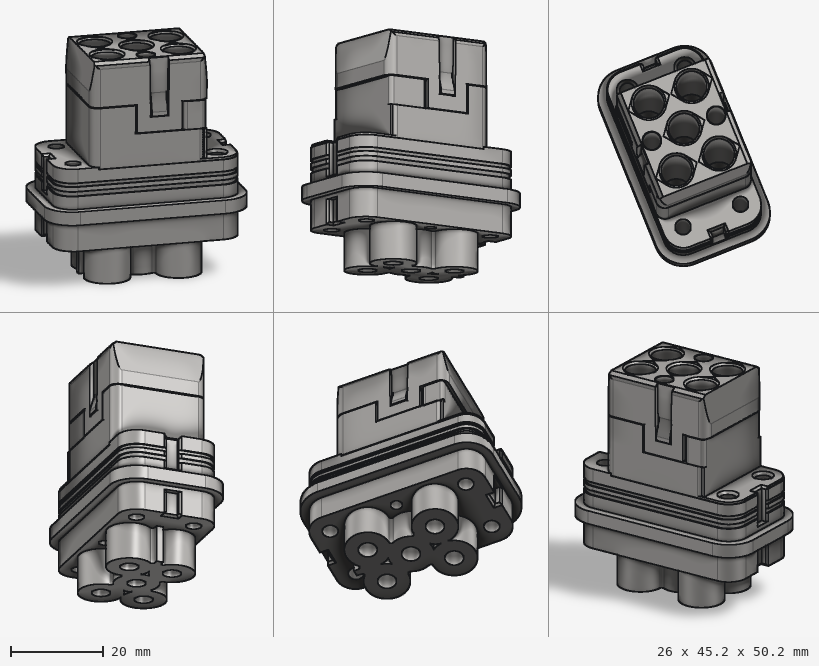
import cadquery as cq
import math

total_height = 50.2
body_bottom = 8.25
flange_bottom = 14.65
flange_top = 17.65
body_top = 26.75
groove_levels = ((20.6, 21.65), (22.7, 23.55))
tongue_bottom = 33.6
cap_bottom = 40.1
cap_slope_start = 43.4

flange_width, flange_length = 26.0, 45.2
flange_overhang = 1.9
flange_radius = 6.35
body_width = flange_width - 2 * flange_overhang
body_length = flange_length - 2 * flange_overhang
body_radius = flange_radius - flange_overhang
groove_depth = 0.35

slot_width, slot_depth = 3.0, 1.4
slot_lead_in_width = 0.55
slot_lead_in_depth = groove_depth
upper_slot_bottom = 18.7
lower_slot_top = 13.75

tower_half_width = 10.95
tower_front = -13.2
tower_radius = 2.0
shell_back = 12.1
shell_back_radius = 1.05
core_half_width = 10.8
core_back = 12.65
core_radius = 0.85
cap_top_half_length = 12.3
cap_top_half_width = 9.8
cap_bevel_half_width, cap_bevel_height = 10.75, 0.7
seam_height, seam_depth = 0.2, 0.25
ledge_width, ledge_depth = 0.2, 0.5
ledge_front = -11.5

latch_y = -2.1
tongue_width = 10.05
tongue_gap = 0.4
tongue_lift = 0.15
latch_slot_floor = 9.95
latch_slot_bottom = 37.1
latch_slot_top_width, latch_slot_bottom_width = 4.35, 4.0
notch_floor = 9.9
hook_width = 3.45
hook_reach = 11.1
hook_top, hook_lip_top, hook_bottom = 42.25, 38.25, 37.25

contact_x, contact_y = 4.95, 8.0
contact_positions = [(0, 0)] + [(i * contact_x, j * contact_y) for i in (-1, 1) for j in (-1, 1)]
sleeve_radius = 5.045
contact_entry_radius, contact_bore_radius, contact_hole_radius = 3.8, 3.3, 2.035
contact_mark_reach = 4.75
contact_mark_depth = 0.1
pilot_x = 7.5
pilot_entry_radius, pilot_bore_radius, pilot_hole_radius = 2.05, 1.95, 1.25
bore_bottom = 20.1
bore_step_height = 1.25
entry_chamfer_height = 0.5

rib_width = 1.5
rib_front = -13.2
sleeve_blend = 0.55

mount_x, mount_y = 6.7, 16.1
mount_radius, mount_countersink_radius = 1.7, 2.35


def box(x0, x1, y0, y1, z0, z1):
    """Block between the given limits."""
    return cq.Workplane("XY").box(x1 - x0, y1 - y0, z1 - z0, centered=False).translate((x0, y0, z0))


def rounded_block(width, y0, y1, z0, z1, radius):
    """Block centred on X with rounded upright edges."""
    return box(-width / 2, width / 2, y0, y1, z0, z1).edges("|Z").fillet(radius)


def half_turn(shape):
    return shape.rotate((0, 0, 0), (0, 0, 1), 180)


def upright_edge_at(x, y, z0, z1):
    """Selector for the upright edge that runs from z0 to z1 at the given place."""
    middle = (z0 + z1) / 2
    reach = 0.05
    return cq.selectors.BoxSelector(
        (x - reach, y - reach, middle - reach), (x + reach, y + reach, middle + reach)
    )


def body_with_flange():
    """Flange and body, with two seal grooves running around the body."""
    half = body_length / 2
    body = rounded_block(body_width, -half, half, body_bottom, body_top, body_radius)
    inner_half = half - groove_depth
    for bottom, top in groove_levels:
        band = rounded_block(body_width + 0.5, -half - 0.5, half + 0.5, bottom, top, body_radius)
        neck = rounded_block(
            body_width - 2 * groove_depth, -inner_half, inner_half, bottom, top, body_radius - groove_depth
        )
        body = body.cut(band.cut(neck))
    flange = rounded_block(
        flange_width, -flange_length / 2, flange_length / 2, flange_bottom, flange_top, flange_radius
    )
    return body.union(flange)


def keying_slot(closed_z, open_z):
    """Slot in the front end, open at one height, with bevelled mouth edges."""
    end = -body_length / 2
    half = slot_width / 2
    mouth = half + slot_lead_in_width
    outline = [
        (-mouth, end),
        (-half, end + slot_lead_in_depth),
        (-half, end + slot_depth),
        (half, end + slot_depth),
        (half, end + slot_lead_in_depth),
        (mouth, end),
    ]
    slot = cq.Workplane("XY").workplane(offset=closed_z).polyline(outline).close().extrude(open_z - closed_z)
    inner_z = open_z + math.copysign(slot_lead_in_width, closed_z - open_z)
    lead_in = (
        cq.Workplane("XY")
        .workplane(offset=inner_z)
        .center(0, end)
        .rect(slot_width, 2 * slot_depth)
        .workplane(offset=open_z - inner_z)
        .rect(2 * mouth, 2 * (slot_depth + slot_lead_in_width))
        .loft(ruled=True)
    )
    return slot.union(lead_in)


def body_ledge():
    """Shallow step along the top edge of the body, beside and behind the tower."""
    half = body_length / 2
    bottom = body_top - ledge_depth
    outside = box(-body_width / 2, body_width / 2, ledge_front, half, bottom, body_top)
    inner_half = half - ledge_width
    inside = rounded_block(
        body_width - 2 * ledge_width, -inner_half, inner_half, bottom, body_top, body_radius - ledge_width
    )
    return outside.cut(inside)


def shell_block(y1, z0, z1):
    """Outer shell of the tower from its front to y1."""
    shell = box(-tower_half_width, tower_half_width, tower_front, y1, z0, z1)
    return shell.edges("|Z and <Y").fillet(tower_radius)


def lower_tower():
    """Tower below the tongues: rounded shell in front of a square back plate."""
    tower_bottom = body_top - ledge_depth
    shell = shell_block(shell_back, tower_bottom, tongue_bottom).edges("|Z and >Y").fillet(shell_back_radius)
    plate = box(-core_half_width, core_half_width, shell_back, core_back, tower_bottom, tongue_bottom)
    return shell.union(plate)


def upper_tower():
    """Tower level with the tongues, notched on both sides to take them."""
    top = cap_bottom - seam_height
    core = box(-core_half_width, core_half_width, 0, core_back, tongue_bottom, top)
    core = core.edges("|Z and >Y").fillet(core_radius)
    tower = shell_block(0, tongue_bottom, top).union(core)
    notch_front = latch_y - tongue_width / 2 - tongue_gap
    notch_back = latch_y + tongue_width / 2 + tongue_gap
    notch = box(-tower_half_width, -notch_floor, notch_front, notch_back, tongue_bottom, top)
    tower = tower.cut(notch).cut(half_turn(notch))
    for x, y in ((-core_half_width, notch_back), (core_half_width, -notch_front)):
        tower = tower.edges(upright_edge_at(x, y, tongue_bottom, top)).fillet(core_radius)
    return tower


def cap():
    """Cap with sloped ends and bevelled long edges, on a neck that leaves a seam."""
    half_length = -tower_front
    block = rounded_block(2 * tower_half_width, tower_front, half_length, cap_bottom, total_height, tower_radius)
    across = (
        cq.Workplane("XZ")
        .moveTo(0, cap_bottom)
        .lineTo(tower_half_width, cap_bottom)
        .lineTo(tower_half_width, total_height - 2 * cap_bevel_height)
        .lineTo(cap_bevel_half_width, total_height - cap_bevel_height)
        .lineTo(cap_top_half_width, total_height)
        .lineTo(0, total_height)
        .close()
        .extrude(half_length, both=True)
    )
    along = (
        cq.Workplane("YZ")
        .moveTo(0, cap_bottom)
        .lineTo(half_length, cap_bottom)
        .lineTo(half_length, cap_slope_start)
        .lineTo(cap_top_half_length, total_height)
        .lineTo(0, total_height)
        .close()
        .extrude(tower_half_width, both=True)
    )
    block = block.intersect(across.union(half_turn(across)))
    block = block.intersect(along.union(half_turn(along)))
    neck = rounded_block(
        2 * (notch_floor - seam_depth),
        tower_front + seam_depth,
        core_back - seam_depth,
        cap_bottom - seam_height,
        cap_bottom,
        tower_radius - seam_depth,
    )
    tongue = box(
        -tower_half_width,
        -notch_floor,
        latch_y - tongue_width / 2,
        latch_y + tongue_width / 2,
        tongue_bottom + tongue_lift,
        cap_bottom,
    )
    return block.union(neck).union(tongue).union(half_turn(tongue))


def latch_slot():
    """Tapered slot down the -X side of the cap into its tongue."""
    half_top, half_bottom = latch_slot_top_width / 2, latch_slot_bottom_width / 2
    return (
        cq.Workplane("YZ")
        .workplane(offset=-hook_reach)
        .moveTo(latch_y - half_top, total_height)
        .lineTo(latch_y - half_bottom, latch_slot_bottom)
        .lineTo(latch_y + half_bottom, latch_slot_bottom)
        .lineTo(latch_y + half_top, total_height)
        .close()
        .extrude(hook_reach - latch_slot_floor)
    )


def latch_hook():
    """Ramped hook standing on the floor of the -X latch slot."""
    return (
        cq.Workplane("XZ")
        .workplane(offset=-latch_y)
        .moveTo(-notch_floor, hook_top)
        .lineTo(-latch_slot_floor, hook_top)
        .lineTo(-hook_reach, hook_lip_top)
        .lineTo(-hook_reach, hook_bottom)
        .lineTo(-notch_floor, hook_bottom)
        .close()
        .extrude(hook_width / 2, both=True)
    )


def sleeves():
    """Five round sleeves and the front rib below the body, blended where they meet."""
    top = body_bottom
    group = box(-rib_width / 2, rib_width / 2, rib_front, -contact_y, 0, top)
    for x, y in contact_positions:
        group = group.union(cq.Workplane("XY").center(x, y).circle(sleeve_radius).extrude(top))

    rib_corner_x = rib_width / 2
    rib_corner_y = -contact_y - math.sqrt(sleeve_radius**2 - (contact_x - rib_corner_x) ** 2)

    spacing = math.hypot(contact_x, contact_y)
    offset = math.sqrt(sleeve_radius**2 - (spacing / 2) ** 2)
    side_corner_x = contact_x / 2 + offset * contact_y / spacing
    side_corner_y = contact_y / 2 - offset * contact_x / spacing

    corners = [(side * rib_corner_x, rib_corner_y) for side in (-1, 1)]
    corners += [(i * side_corner_x, j * side_corner_y) for i in (-1, 1) for j in (-1, 1)]
    for x, y in corners:
        group = group.edges(upright_edge_at(x, y, 0, top)).fillet(sleeve_blend)
    return group


def stepped_bore(entry_radius, bore_radius, hole_radius):
    """Through hole with a wide upper bore, a conical step and a chamfered entry."""
    chamfer_height = min(entry_chamfer_height, entry_radius - bore_radius)
    return (
        cq.Workplane("XZ")
        .moveTo(0, 0)
        .lineTo(hole_radius, 0)
        .lineTo(hole_radius, bore_bottom)
        .lineTo(bore_radius, bore_bottom + bore_step_height)
        .lineTo(bore_radius, total_height - chamfer_height)
        .lineTo(entry_radius, total_height)
        .lineTo(0, total_height)
        .close()
        .revolve(360, (0, 0, 0), (0, 1, 0))
    )


def contact_mark():
    """Shallow pointed recess whose edges are tangent to the contact entry."""
    angle = math.acos(contact_entry_radius / contact_mark_reach)
    tangent_x = contact_entry_radius * math.cos(angle)
    tangent_y = contact_entry_radius * math.sin(angle)
    outline = [
        (contact_mark_reach, 0),
        (tangent_x, tangent_y),
        (-tangent_x, tangent_y),
        (-contact_mark_reach, 0),
        (-tangent_x, -tangent_y),
        (tangent_x, -tangent_y),
    ]
    floor = total_height - contact_mark_depth
    return cq.Workplane("XY").workplane(offset=floor).polyline(outline).close().extrude(contact_mark_depth)


def mounting_hole(x, y, countersunk):
    hole = cq.Workplane("XY").circle(mount_radius).extrude(body_top)
    if countersunk:
        depth = mount_countersink_radius - mount_radius
        cone = cq.Solid.makeCone(mount_radius, mount_countersink_radius, depth)
        hole = hole.union(cq.Workplane(cone).translate((0, 0, body_top - depth)))
    return hole.translate((x, y, 0))


part = body_with_flange()
part = part.cut(body_ledge())
for closed_z, open_z in ((upper_slot_bottom, body_top), (lower_slot_top, body_bottom)):
    slot = keying_slot(closed_z, open_z)
    part = part.cut(slot).cut(half_turn(slot))

part = part.union(lower_tower()).union(upper_tower()).union(cap()).union(sleeves())

for turn in (lambda shape: shape, half_turn):
    part = part.cut(turn(latch_slot())).union(turn(latch_hook()))

for x, y in contact_positions:
    cavity = stepped_bore(contact_entry_radius, contact_bore_radius, contact_hole_radius).union(contact_mark())
    part = part.cut(cavity.translate((x, y, 0)))
for x in (-pilot_x, pilot_x):
    part = part.cut(stepped_bore(pilot_entry_radius, pilot_bore_radius, pilot_hole_radius).translate((x, 0, 0)))

for x in (-mount_x, mount_x):
    part = part.cut(mounting_hole(x, -mount_y, False))
    part = part.cut(mounting_hole(x, mount_y, True))

result = part